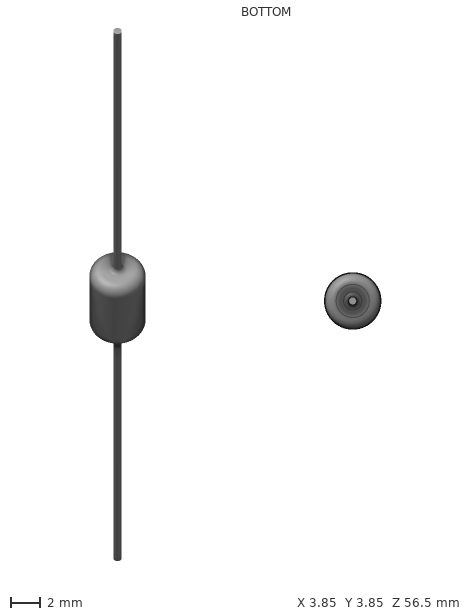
import cadquery as cq

total_length = 56.45
body_diameter = 3.85
body_length = 6.15
body_drop = 0.365
body_edge_radius = 0.8
lead_diameter = 0.55
lead_root_radius = 0.35

body_radius = body_diameter / 2
lead_radius = lead_diameter / 2
body_bottom = -body_drop - body_length / 2
body_top = body_bottom + body_length


def make_body():
    """Cylinder with both rims rounded, leaving a flat circle at each end."""
    cylinder = cq.Workplane("XY").workplane(offset=body_bottom).circle(body_radius).extrude(body_length)
    return cylinder.faces("|Z").edges().fillet(body_edge_radius)


def make_leads():
    """One wire running the full length, showing as a lead beyond each end of the body."""
    return cq.Workplane("XY").circle(lead_radius).extrude(total_length / 2, both=True)


def make_lead_root(body_end, outward):
    """Concave flare between a body end face and its lead; outward is +1 (up) or -1 (down)."""
    flare_radius = lead_radius + lead_root_radius
    flare_end = body_end + outward * lead_root_radius
    profile = (
        cq.Workplane("XZ")
        .moveTo(0, body_end)
        .lineTo(flare_radius, body_end)
        .radiusArc((lead_radius, flare_end), outward * lead_root_radius)
        .lineTo(0, flare_end)
        .close()
    )
    return profile.revolve(360, (0, 0, 0), (0, 1, 0))


result = make_body().union(make_leads())
for body_end, outward in ((body_top, 1), (body_bottom, -1)):
    result = result.union(make_lead_root(body_end, outward))